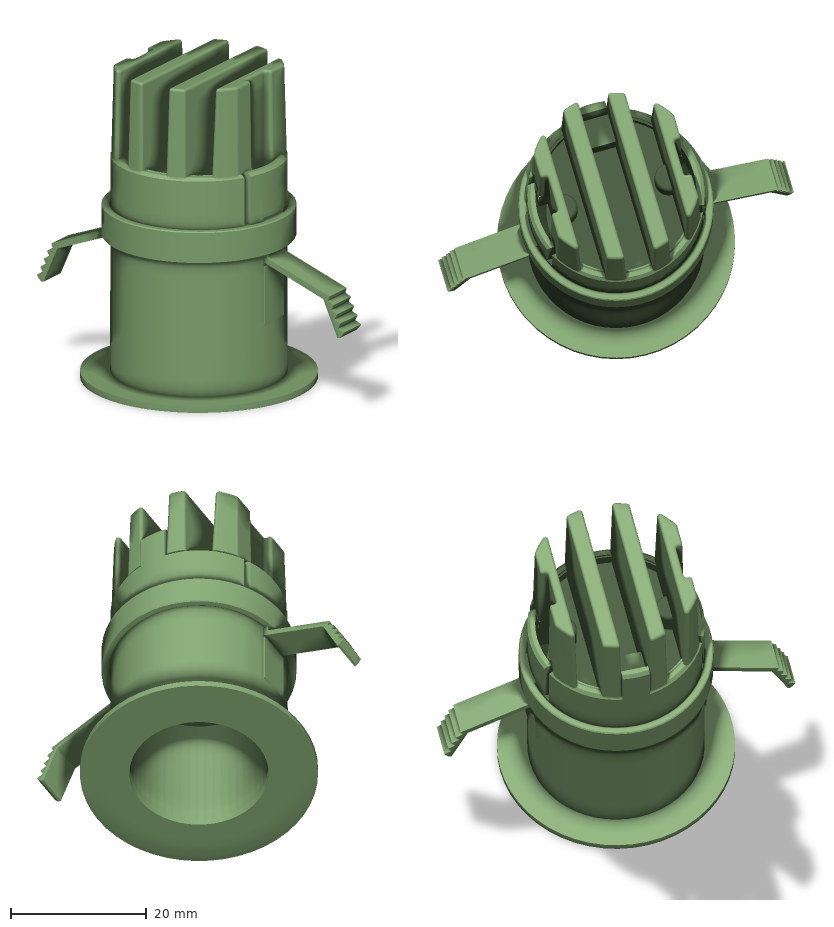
import cadquery as cq
flange_radius = 17.5
flange_thickness = 1.0
tube_radius = 13.05
bore_radius = 11.9
bore_cone_height = 3.55
aperture_radius = 10.25
rim_height = 34.75
rim_chamfer = 0.5

lens_thickness = 2.0

collar_clearance = 0.1
collar_radius = 14.35
collar_bottom = 22.0
collar_top = 26.9
collar_chamfer = 0.15
lug_width = 5.2
lug_inner_x = bore_radius - 0.05
arm_width = 4.9
leg_inner_x = 12.75
leg_outer_x = 13.45
bend_inner_z = 20.45
bend_outer_z = 21.1
bend_radius = 0.4
arm_end = (24.05, 17.1)
knee = (23.0, 16.5)
tooth_count = 4
first_root = (23.8, 16.35)
root_step = (0.6, -1.35)
tooth_reach = (1.0, -0.5)
arm_tip = [(26.55, 11.9), (26.35, 11.5), (25.8, 10.95), (25.4, 10.95), (25.25, 11.3)]

slit_inner_y = 5.05
slit_width = 1.0
window_height = 0.5
pad_bottom = 11.0
pad_top = 19.85
pad_depth = 1.05

snap_inner_y = 11.4
snap_height = 40.4
snap_lead_in = 0.35
snap_lead_in_height = 1.2

cup_bottom = 28.25
cup_bottom_chamfer = 0.55
cup_floor = 33.2
cup_inner_radius = 11.45
cup_rim_chamfer = 0.2
cup_flat_x = 11.05
sink_height = 48.25
inner_fin_x = 3.5
outer_fin_x = 9.5
fin_base_thickness = 2.9
fin_top_thickness = 2.5
fin_end_base_radius = 12.9
fin_end_top_radius = 12.55
fin_fillet = 0.4
notch_width = 5.5
notch_inner_x = 9.65
boss_centre_x = 8.05
boss_radius = 2.05
boss_top = 36.3
step_start_y = 7.15
step_height = 37.15

channel_half_width = inner_fin_x - fin_base_thickness / 2


def cylinder(radius, bottom, top):
    return cq.Workplane("XY").workplane(offset=bottom).circle(radius).extrude(top - bottom)


def frustum(bottom_radius, top_radius, bottom, top):
    return (
        cq.Workplane("XY")
        .workplane(offset=bottom)
        .circle(bottom_radius)
        .workplane(offset=top - bottom)
        .circle(top_radius)
        .loft()
    )


def block(x_range, y_range, z_range):
    """Box between the two limits given for each axis."""
    size = [high - low for low, high in (x_range, y_range, z_range)]
    corner = (x_range[0], y_range[0], z_range[0])
    return cq.Workplane("XY").box(*size, centered=False).translate(corner)


def centred_block(x_range, width, z_range):
    """Box that is symmetric in Y."""
    return block(x_range, (-width / 2, width / 2), z_range)


def both_sides(shape):
    """The +X shape together with its mirror image on the -X side."""
    return shape.union(shape.mirror("YZ"))


def bore():
    """Aperture, cone and straight bore, one above the other."""
    cone_bottom = collar_top - bore_cone_height
    aperture = cylinder(aperture_radius, 0, cone_bottom)
    cone = frustum(aperture_radius, bore_radius, cone_bottom, collar_top)
    straight = cylinder(bore_radius, collar_top, rim_height)
    return aperture.union(cone).union(straight)


def slits():
    """Four slits that free a spring tab on each X side of the rim."""
    x_range = (aperture_radius, collar_radius)
    z_range = (collar_top, rim_height)
    slit = block(x_range, (slit_inner_y, slit_inner_y + slit_width), z_range)
    return both_sides(slit.union(slit.mirror("XZ")))


def ring_seats():
    """Windows for the lugs, and the flats behind the clip legs."""
    window_z = (collar_bottom, collar_top + window_height)
    window = centred_block((lug_inner_x, collar_radius), lug_width, window_z)
    leg_flat = centred_block((leg_inner_x, collar_radius), lug_width, (pad_top, collar_bottom))
    return both_sides(window.union(leg_flat))


def pads():
    """Flat pads below the spring arms, tangent to the tube."""
    return both_sides(centred_block((tube_radius - pad_depth, tube_radius), lug_width, (pad_bottom, pad_top)))


def snap_tab():
    outline = [
        (bore_radius, rim_height - rim_chamfer),
        (tube_radius, rim_height - rim_chamfer),
        (tube_radius, snap_height),
        (snap_inner_y + snap_lead_in, snap_height),
        (snap_inner_y, snap_height - snap_lead_in_height),
        (snap_inner_y, rim_height),
        (bore_radius, rim_height),
    ]
    slab = cq.Workplane("YZ").polyline(outline).close().extrude(channel_half_width, both=True)
    envelope = cylinder(tube_radius, 0, snap_height).faces(">Z").chamfer(rim_chamfer)
    return slab.intersect(envelope)


def make_housing():
    flange = cylinder(flange_radius, 0, flange_thickness)
    tube = cylinder(tube_radius, 0, rim_height).faces(">Z").chamfer(rim_chamfer)
    body = flange.union(tube).union(pads())
    body = body.cut(bore()).cut(slits()).cut(ring_seats())
    return body.union(snap_tab())


def make_lens():
    top = collar_top - bore_cone_height
    return cylinder(aperture_radius, top - lens_thickness, top)


def collar():
    inner_radius = tube_radius + collar_clearance
    ring = cylinder(collar_radius, collar_bottom, collar_top).cut(
        cylinder(inner_radius, collar_bottom, collar_top)
    )
    return ring.edges().chamfer(collar_chamfer)


def lug():
    """Block that crosses the collar and fills the housing window below the collar top."""
    outer_x = (tube_radius + collar_radius) / 2
    return centred_block((lug_inner_x, outer_x), lug_width, (collar_bottom, collar_top))


def spring_arm():
    """Short leg below the collar, sloping arm and a toothed end that turns down."""
    outline = [
        (leg_inner_x, collar_bottom),
        (leg_outer_x, collar_bottom),
        (leg_outer_x, bend_outer_z),
        arm_end,
    ]
    for i in range(tooth_count):
        root = (first_root[0] + i * root_step[0], first_root[1] + i * root_step[1])
        outline.append(root)
        if i < tooth_count - 1:
            outline.append((root[0] + tooth_reach[0], root[1] + tooth_reach[1]))
    outline += arm_tip + [knee, (leg_inner_x, bend_inner_z)]
    arm = cq.Workplane("XZ").polyline(outline).close().extrude(arm_width / 2, both=True)
    bend_edge = cq.selectors.NearestToPointSelector((leg_outer_x, 0, bend_outer_z))
    return arm.edges(bend_edge).fillet(bend_radius)


def make_clip_ring():
    return collar().union(both_sides(lug().union(spring_arm())))


def notches():
    """Cutouts in the outer face of the two outer fins, down through the cup."""
    return both_sides(centred_block((notch_inner_x, collar_radius), notch_width, (cup_bottom, sink_height)))


def cup():
    body = cylinder(bore_radius, cup_bottom, rim_height)
    body = body.faces(">Z").chamfer(cup_rim_chamfer).faces("<Z").chamfer(cup_bottom_chamfer)
    body = body.cut(cylinder(cup_inner_radius, cup_floor, rim_height))
    return body.intersect(centred_block((-cup_flat_x, cup_flat_x), 2 * bore_radius, (cup_bottom, rim_height)))


def fin_root(x):
    """Straight part of a fin inside the cup."""
    half = fin_base_thickness / 2
    root = centred_block((x - half, x + half), 2 * bore_radius, (cup_floor, rim_height))
    return root.intersect(cylinder(cup_inner_radius, cup_floor, rim_height))


def fin(x):
    """Tapered fin above the rim, with rounded edges."""
    outline = [
        (x - fin_base_thickness / 2, rim_height),
        (x + fin_base_thickness / 2, rim_height),
        (x + fin_top_thickness / 2, sink_height),
        (x - fin_top_thickness / 2, sink_height),
    ]
    slab = cq.Workplane("XZ").polyline(outline).close().extrude(tube_radius, both=True)
    shape = slab.intersect(frustum(fin_end_base_radius, fin_end_top_radius, rim_height, sink_height))
    if abs(x) == outer_fin_x:
        shape = shape.cut(notches())
    return shape.edges("not <Z").fillet(fin_fillet)


def bosses():
    """Half-round bosses on the inner face of the outer fins."""
    boss = cylinder(boss_radius, cup_floor, boss_top).faces(">Z").fillet(fin_fillet)
    boss = boss.translate((boss_centre_x, 0, 0))
    inward = centred_block((0, outer_fin_x), 2 * boss_radius, (cup_floor, boss_top))
    return both_sides(boss.intersect(inward))


def channel_step():
    """Raised floor between the middle fins, ending at the snap tab."""
    y_range = (step_start_y, snap_inner_y)
    step = block((-inner_fin_x, inner_fin_x), y_range, (cup_floor, step_height))
    return step.intersect(cylinder(bore_radius, cup_floor, step_height))


def make_heat_sink():
    fin_places = (-outer_fin_x, -inner_fin_x, inner_fin_x, outer_fin_x)
    body = cup().union(bosses()).union(channel_step())
    for x in fin_places:
        body = body.union(fin_root(x))
    body = body.cut(notches())
    for x in fin_places:
        body = body.union(fin(x))
    return body


housing = make_housing()
lens = make_lens()
clip_ring = make_clip_ring()
heat_sink = make_heat_sink()

bodies = [housing, lens, clip_ring, heat_sink]
result = cq.Compound.makeCompound([body.solids().val() for body in bodies])